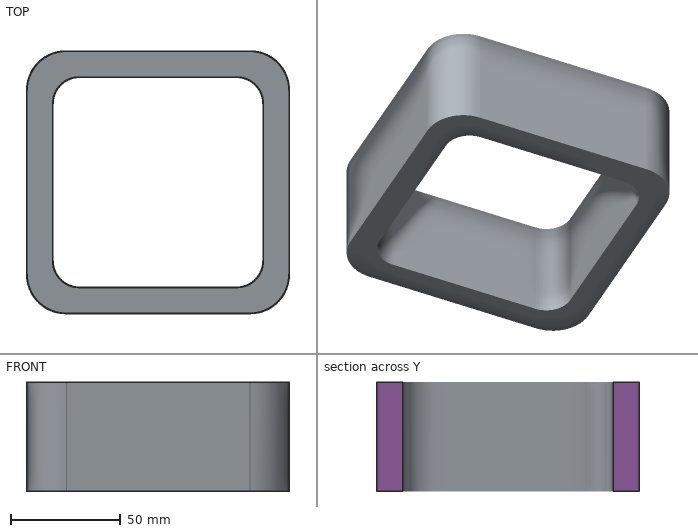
import cadquery as cq

outer_side = 120.0
wall = 12.0
height = 50.0
outer_corner_radius = 18.0
inner_corner_radius = 12.0

inner_side = outer_side - 2 * wall


def rounded_block(side, corner_radius):
    """Square block centred on the Z axis, with its vertical edges rounded."""
    block = cq.Workplane("XY").rect(side, side).extrude(height)
    return block.edges("|Z").fillet(corner_radius)


outer_body = rounded_block(outer_side, outer_corner_radius)
opening = rounded_block(inner_side, inner_corner_radius)

result = outer_body.cut(opening)